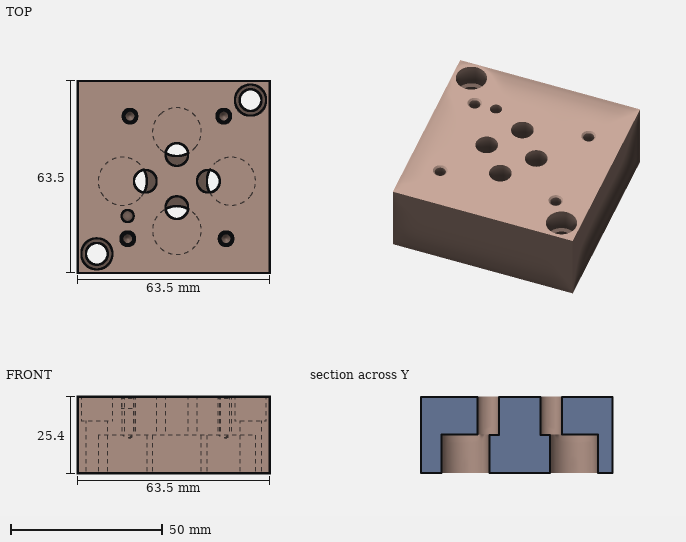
import cadquery as cq
import math

block_side = 63.5
block_height = 25.4
top = block_height

mount_offset = 25.4
mount_diameter = 7.14
counterbore_diameter = 10.31
counterbore_depth = 8.0

datum_x = 16.55
datum_y = 20.1
tapped_holes = [(0.0, 0.0), (40.5, -0.75), (40.5, 31.75), (0.0, 31.0)]
locating_pin = (33.0, 31.75)
ports = [
    ((21.5, 25.9), (-1, 0)),
    ((21.5, 5.1), (1, 0)),
    ((12.7, 15.5), (0, 1)),
    ((30.2, 15.5), (0, -1)),
]

tap_drill_diameter = 3.68
tap_mouth_diameter = 4.83
tap_chamfer_angle = 45.0
tap_depth = 12.7
drill_point_angle = 118.0

pin_diameter = 4.01
pin_depth = 4.0

port_diameter = 7.49
port_depth = block_height / 2
passage_diameter = 16.0
passage_offset = 7.55


def interface_point(along, across):
    """Convert valve interface distances to block X and Y."""
    return datum_x - across, datum_y - along


def cylinder(x, y, bottom, height, diameter):
    return cq.Workplane("XY", origin=(x, y, bottom)).circle(diameter / 2).extrude(height)


def mounting_hole(x, y):
    through = cylinder(x, y, 0, block_height, mount_diameter)
    counterbore = cylinder(x, y, top - counterbore_depth, counterbore_depth, counterbore_diameter)
    return through.union(counterbore)


def tapped_hole(x, y):
    """Drilled hole with a conical bottom and a chamfered mouth."""
    radius = tap_drill_diameter / 2
    mouth_radius = tap_mouth_diameter / 2
    chamfer_depth = (mouth_radius - radius) / math.tan(math.radians(tap_chamfer_angle))
    point_depth = radius / math.tan(math.radians(drill_point_angle / 2))
    profile = (
        cq.Workplane("XZ", origin=(x, y, top))
        .moveTo(0, 0)
        .lineTo(mouth_radius, 0)
        .lineTo(radius, -chamfer_depth)
        .lineTo(radius, -tap_depth)
        .lineTo(0, -tap_depth - point_depth)
        .close()
    )
    return profile.revolve(360, (0, 0, 0), (0, 1, 0))


def port(x, y, direction):
    """Port from the top meeting a wider, offset passage from the bottom."""
    passage_x = x + direction[0] * passage_offset
    passage_y = y + direction[1] * passage_offset
    upper = cylinder(x, y, top - port_depth, port_depth, port_diameter)
    lower = cylinder(passage_x, passage_y, 0, block_height - port_depth, passage_diameter)
    return upper, lower


body = cq.Workplane("XY").box(block_side, block_side, block_height, centered=(True, True, False))

for side in (-1, 1):
    body = body.cut(mounting_hole(side * mount_offset, side * mount_offset))

for hole in tapped_holes:
    body = body.cut(tapped_hole(*interface_point(*hole)))

pin_x, pin_y = interface_point(*locating_pin)
body = body.cut(cylinder(pin_x, pin_y, top - pin_depth, pin_depth, pin_diameter))

for position, direction in ports:
    upper, lower = port(*interface_point(*position), direction)
    body = body.cut(upper).cut(lower)

result = body